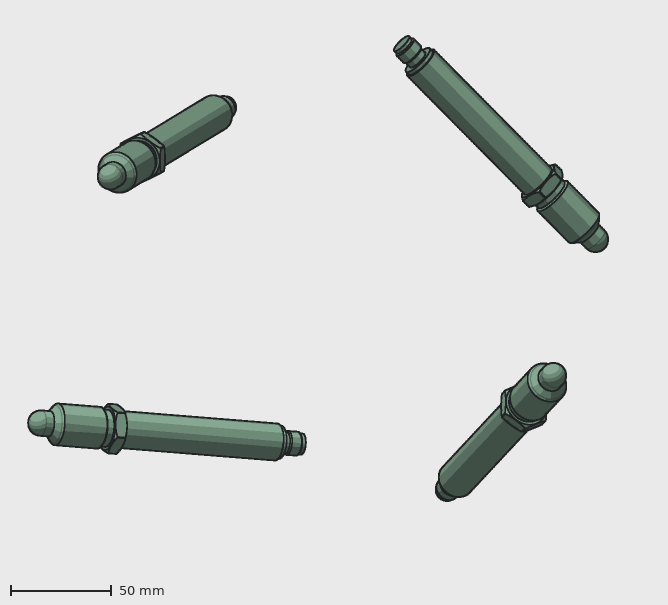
import cadquery as cq
import math

LENGTH = 148.2

NOSE_RADIUS = 12.7 / 2
NOSE_BASE_Y = 11.0

SLEEVE_RADIUS = 20.9 / 2
SLEEVE_FRONT_Y = 13.6
SLEEVE_FRONT_RADIUS = 18.8 / 2
SLEEVE_FRONT_CHAMFER = 1.2
SLEEVE_BACK_Y = 38.7
SLEEVE_BACK_CHAMFER = 0.9

BODY_RADIUS = 18.5 / 2
BODY_BACK_Y = 134.2
COLLAR_RADIUS = 16.6 / 2
COLLAR_BACK_Y = 136.3

PLUG_RADIUS = 10.5 / 2
RING_RADIUS = 12.0 / 2
RING_FRONT_Y = 139.5
RING_BACK_Y = 146.2
RING_CHAMFER = RING_RADIUS - PLUG_RADIUS

NUT_FRONT_Y = 42.1
NUT_BACK_Y = 48.5
NUT_ACROSS_FLATS = 22.0
NUT_CORNER_RADIUS = 25.0 / 2
NUT_FACE_RADIUS = 21.6 / 2
NUT_CHAMFER_ANGLE = 30.0


def revolve_about_y(profile):
    """Revolve a closed XY profile a full turn about the Y axis."""
    return profile.close().revolve(360, (0, 0, 0), (0, 1, 0))


def make_shaft():
    """Nose, sleeve, body and plug as one turned piece."""
    dome_diagonal = NOSE_RADIUS * math.sqrt(0.5)
    profile = (
        cq.Workplane("XY")
        .moveTo(0, 0)
        .threePointArc((dome_diagonal, NOSE_RADIUS - dome_diagonal), (NOSE_RADIUS, NOSE_RADIUS))
        .lineTo(NOSE_RADIUS, NOSE_BASE_Y)
        .lineTo(SLEEVE_FRONT_RADIUS, SLEEVE_FRONT_Y)
        .lineTo(SLEEVE_RADIUS, SLEEVE_FRONT_Y + SLEEVE_FRONT_CHAMFER)
        .lineTo(SLEEVE_RADIUS, SLEEVE_BACK_Y - SLEEVE_BACK_CHAMFER)
        .lineTo(BODY_RADIUS, SLEEVE_BACK_Y)
        .lineTo(BODY_RADIUS, BODY_BACK_Y)
        .lineTo(COLLAR_RADIUS, BODY_BACK_Y)
        .lineTo(COLLAR_RADIUS, COLLAR_BACK_Y)
        .lineTo(PLUG_RADIUS, COLLAR_BACK_Y)
        .lineTo(PLUG_RADIUS, RING_FRONT_Y)
        .lineTo(RING_RADIUS, RING_FRONT_Y + RING_CHAMFER)
        .lineTo(RING_RADIUS, RING_BACK_Y - RING_CHAMFER)
        .lineTo(PLUG_RADIUS, RING_BACK_Y)
        .lineTo(PLUG_RADIUS, LENGTH)
        .lineTo(0, LENGTH)
    )
    return revolve_about_y(profile)


def make_nut():
    """Hexagon trimmed by a turned blank that bevels its corners on both faces."""
    across_corners = NUT_ACROSS_FLATS / math.cos(math.radians(30))
    hexagon = (
        cq.Workplane("XZ", origin=(0, NUT_BACK_Y, 0))
        .transformed(rotate=(0, 0, 90))
        .polygon(6, across_corners)
        .extrude(NUT_BACK_Y - NUT_FRONT_Y)
    )
    bevel = (NUT_CORNER_RADIUS - NUT_FACE_RADIUS) * math.tan(math.radians(NUT_CHAMFER_ANGLE))
    blank = (
        cq.Workplane("XY")
        .moveTo(0, NUT_FRONT_Y)
        .lineTo(NUT_FACE_RADIUS, NUT_FRONT_Y)
        .lineTo(NUT_CORNER_RADIUS, NUT_FRONT_Y + bevel)
        .lineTo(NUT_CORNER_RADIUS, NUT_BACK_Y - bevel)
        .lineTo(NUT_FACE_RADIUS, NUT_BACK_Y)
        .lineTo(0, NUT_BACK_Y)
    )
    return hexagon.intersect(revolve_about_y(blank))


result = make_shaft().union(make_nut())